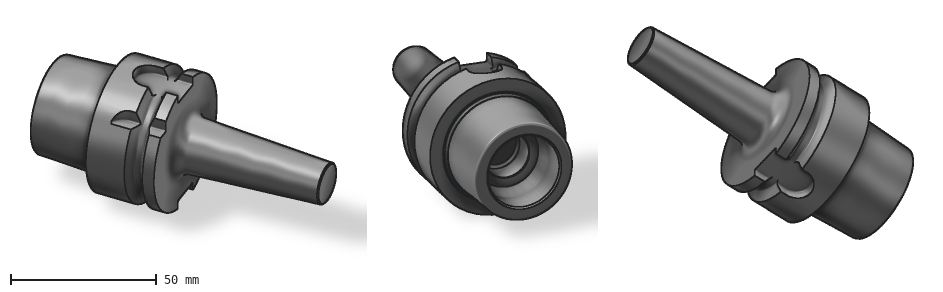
import cadquery as cq
import math

overall_length = 104.9

clearance = 1

taper_tip_radius = 17.9
taper_slope = 0.05
taper_length = 22.7
taper_tip_fillet = 1
collar_length = 0.7
neck_start = 23.6
neck_radius = 18.9
relief_arc_radius = 0.7
relief_mouth_radius = 20.2
relief_depth = 0.2

flange_start = 24.9
flange_width = 25.9
flange_radius = 50.0 / 2
flange_end = flange_start + flange_width

groove_center = 42.9
groove_floor_width = 2.8
groove_floor_radius = 21.5
groove_wall_angle = 30
groove_fillet = 0.8

stem_tip_radius = 15.0 / 2
stem_angle = 3
stem_root_fillet = 4.8
stem_tip_chamfer = 0.4

mouth_radius = 13.7
mouth_chamfer = 0.6
socket_depth = 10.0
cone_end_radius = 11.6
cone_end_depth = 16.5
pilot_radius = 8.2
pilot_chamfer = 0.2
pilot_end_radius = 7.1
pilot_end_depth = 25.2
pilot_floor_depth = 26.2

slot_width = 12.0
slot_end_center = 37.3
slot_floor_height = 21
notch_offset = 15.4
slot_floor_fillet = 0.6


def revolve_about_x(profile):
    return profile.close().revolve(360, (0, 0, 0), (1, 0, 0))


def turned_body():
    taper_end_radius = taper_tip_radius + taper_slope * taper_length
    stem_length = overall_length - flange_end
    stem_root_radius = stem_tip_radius + stem_length * math.tan(math.radians(stem_angle))
    relief_start = flange_start + relief_depth - relief_arc_radius
    relief_center_radius = neck_radius + relief_arc_radius
    relief_mid_offset = relief_arc_radius * math.sqrt(0.5)
    profile = (
        cq.Workplane("XY")
        .lineTo(0, taper_tip_radius)
        .lineTo(taper_length, taper_end_radius)
        .lineTo(taper_length + collar_length, taper_end_radius)
        .lineTo(neck_start, neck_radius)
        .lineTo(relief_start, neck_radius)
        .threePointArc(
            (relief_start + relief_mid_offset, relief_center_radius - relief_mid_offset),
            (relief_start + relief_arc_radius, relief_center_radius),
        )
        .lineTo(flange_start, relief_mouth_radius)
        .lineTo(flange_start, flange_radius)
        .lineTo(flange_end, flange_radius)
        .lineTo(flange_end, stem_root_radius)
        .lineTo(overall_length, stem_tip_radius)
        .lineTo(overall_length, 0)
    )
    body = revolve_about_x(profile)
    box_reach = stem_root_radius + clearance
    stem_root = cq.selectors.BoxSelector(
        (flange_end - clearance, -box_reach, -box_reach),
        (flange_end + clearance, box_reach, box_reach),
        boundingbox=True,
    )
    body = body.edges(stem_root).fillet(stem_root_fillet)
    body = body.faces("<X").edges().fillet(taper_tip_fillet)
    return body.faces(">X").edges().chamfer(stem_tip_chamfer)


def gripper_groove():
    depth = flange_radius - groove_floor_radius
    half_floor = groove_floor_width / 2
    half_mouth = half_floor + depth * math.tan(math.radians(groove_wall_angle))
    clear_radius = flange_radius + clearance
    profile = (
        cq.Workplane("XY")
        .moveTo(groove_center - half_mouth, clear_radius)
        .lineTo(groove_center - half_mouth, flange_radius)
        .lineTo(groove_center - half_floor, groove_floor_radius)
        .lineTo(groove_center + half_floor, groove_floor_radius)
        .lineTo(groove_center + half_mouth, flange_radius)
        .lineTo(groove_center + half_mouth, clear_radius)
    )
    ring = revolve_about_x(profile)
    return ring.edges(cq.selectors.RadiusNthSelector(0)).fillet(groove_fillet)


def stepped_bore():
    socket_radius = mouth_radius - mouth_chamfer
    profile = (
        cq.Workplane("XY")
        .lineTo(0, mouth_radius)
        .lineTo(mouth_chamfer, socket_radius)
        .lineTo(socket_depth, socket_radius)
        .lineTo(cone_end_depth, cone_end_radius)
        .lineTo(cone_end_depth, pilot_radius + pilot_chamfer)
        .lineTo(cone_end_depth + pilot_chamfer, pilot_radius)
        .lineTo(pilot_end_depth, pilot_radius)
        .lineTo(pilot_floor_depth, pilot_end_radius)
        .lineTo(pilot_floor_depth, 0)
    )
    return revolve_about_x(profile)


def round_ended_cutter(center_y, floor_height):
    """Milled slot volume, open toward +X and +Z, with a filleted floor edge."""
    half_width = slot_width / 2
    return (
        cq.Workplane("XY", origin=(0, center_y, floor_height))
        .moveTo(flange_end, -half_width)
        .lineTo(slot_end_center, -half_width)
        .threePointArc((slot_end_center - half_width, 0), (slot_end_center, half_width))
        .lineTo(flange_end, half_width)
        .close()
        .extrude(flange_radius - floor_height)
        .faces("<Z")
        .edges("not >X")
        .fillet(slot_floor_fillet)
    )


drive_slot = round_ended_cutter(0, slot_floor_height)
orientation_notch = round_ended_cutter(-notch_offset - slot_width / 2, notch_offset)

result = (
    turned_body()
    .cut(gripper_groove())
    .cut(stepped_bore())
    .cut(drive_slot)
    .cut(drive_slot.mirror("XY"))
    .cut(orientation_notch)
)